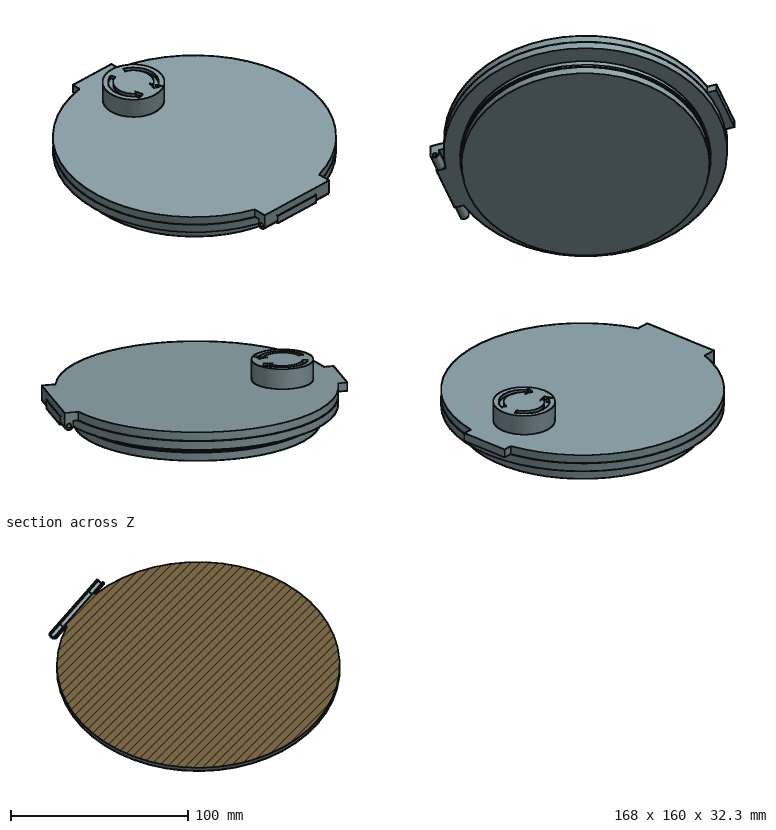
import cadquery as cq
import math

neck_height = 10.0
plate_thickness = 5.0
lid_gap = 0.3
knob_height = 12.0
flange_bottom = neck_height
flange_top = flange_bottom + plate_thickness
lid_bottom = flange_top + lid_gap
lid_top = lid_bottom + plate_thickness

flange_diameter = 160.0
neck_diameter = 140.0
bead_top_diameter = 141.8
bead_bottom_diameter = 141.0
bead_drop = 4.0
bead_top = flange_bottom - bead_drop
bead_height = 1.0

lid_diameter = flange_diameter
overall_length = 168.0
tab_reach = overall_length / 2
latch_tab_width = 30.0
hinge_tab_width = 50.0

knuckle_width = latch_tab_width
lug_width = (hinge_tab_width - knuckle_width) / 2
hinge_depth = plate_thickness
hinge_hole_diameter = 2.5
hinge_x = tab_reach - hinge_depth / 2
hinge_z = flange_bottom + plate_thickness / 2

knob_diameter = 35.0
knob_x = -50.0
arrow_radius = 13.0
arrow_width = 2.9
arrow_depth = 2.0
arrow_tail_angle = 160.0
arrow_neck_angle = 35.0
arrow_tip_angle = 20.0
arrow_head_half_width = 3.7


def disc(diameter, bottom, height):
    return cq.Workplane("XY").workplane(offset=bottom).circle(diameter / 2).extrude(height)


def block(x_start, x_end, width, bottom, height):
    """Box centred on Y, between two X positions."""
    return (
        cq.Workplane("XY", origin=((x_start + x_end) / 2, 0, bottom))
        .rect(x_end - x_start, width)
        .extrude(height)
    )


def hinge_cylinder(diameter, y_start, length):
    """Cylinder along the hinge axis, running toward +Y from y_start."""
    return (
        cq.Workplane("XZ", origin=(hinge_x, y_start, hinge_z))
        .circle(diameter / 2)
        .extrude(-length)
    )


def hinge_hole():
    return hinge_cylinder(hinge_hole_diameter, -hinge_tab_width / 2, hinge_tab_width)


def make_bead():
    """Snap bead: a thin ledge around the neck, wider at its top than at its bottom."""
    bead_bottom = bead_top - bead_height
    return (
        cq.Workplane("XZ")
        .moveTo(0, bead_bottom)
        .lineTo(bead_bottom_diameter / 2, bead_bottom)
        .lineTo(bead_top_diameter / 2, bead_top)
        .lineTo(0, bead_top)
        .close()
        .revolve(360, (0, 0, 0), (0, 1, 0))
    )


def make_frame():
    neck = disc(neck_diameter, 0, neck_height)
    flange = disc(flange_diameter, flange_bottom, plate_thickness)
    knuckle = block(0, tab_reach, knuckle_width, flange_bottom, plate_thickness)
    return neck.union(make_bead()).union(flange).union(knuckle).cut(hinge_hole())


def make_lug(y_start):
    """Leg hanging from the hinge tab, with a full round at its lower end."""
    leg = (
        cq.Workplane("XY", origin=(hinge_x, y_start + lug_width / 2, hinge_z))
        .rect(hinge_depth, lug_width)
        .extrude(lid_top - hinge_z)
    )
    return leg.union(hinge_cylinder(hinge_depth, y_start, lug_width))


def make_lid():
    lid = disc(lid_diameter, lid_bottom, plate_thickness)
    latch_tab = block(-tab_reach, 0, latch_tab_width, lid_bottom, plate_thickness)
    hinge_tab = block(0, tab_reach, hinge_tab_width, lid_bottom, plate_thickness)
    lid = lid.union(latch_tab).union(hinge_tab)
    for y_start in (-hinge_tab_width / 2, knuckle_width / 2):
        lid = lid.union(make_lug(y_start))
    return lid.cut(hinge_hole())


def polar(radius, degrees):
    angle = math.radians(degrees)
    return (radius * math.cos(angle), radius * math.sin(angle))


def arrow_cutter():
    """Curved arrow around the knob axis: an arc band ending in a triangular head."""
    outer = arrow_radius + arrow_width / 2
    inner = arrow_radius - arrow_width / 2
    middle_angle = (arrow_tail_angle + arrow_neck_angle) / 2
    plane = cq.Workplane("XY", origin=(knob_x, 0, lid_top + knob_height - arrow_depth))
    band = (
        plane.moveTo(*polar(outer, arrow_tail_angle))
        .threePointArc(polar(outer, middle_angle), polar(outer, arrow_neck_angle))
        .lineTo(*polar(inner, arrow_neck_angle))
        .threePointArc(polar(inner, middle_angle), polar(inner, arrow_tail_angle))
        .close()
        .extrude(arrow_depth)
    )
    neck_x, neck_y = polar(arrow_radius, arrow_neck_angle)
    side_x, side_y = polar(arrow_head_half_width, (arrow_neck_angle + arrow_tip_angle) / 2)
    head = (
        plane.moveTo(neck_x + side_x, neck_y + side_y)
        .lineTo(*polar(arrow_radius, arrow_tip_angle))
        .lineTo(neck_x - side_x, neck_y - side_y)
        .close()
        .extrude(arrow_depth)
    )
    return band.union(head)


def make_knob():
    knob = disc(knob_diameter, lid_top, knob_height).translate((knob_x, 0, 0))
    arrow = arrow_cutter()
    return knob.cut(arrow).cut(arrow.mirror("XZ"))


frame = make_frame()
lid = make_lid()
knob = make_knob()

result = cq.Compound.makeCompound([frame.val(), lid.val(), knob.val()])